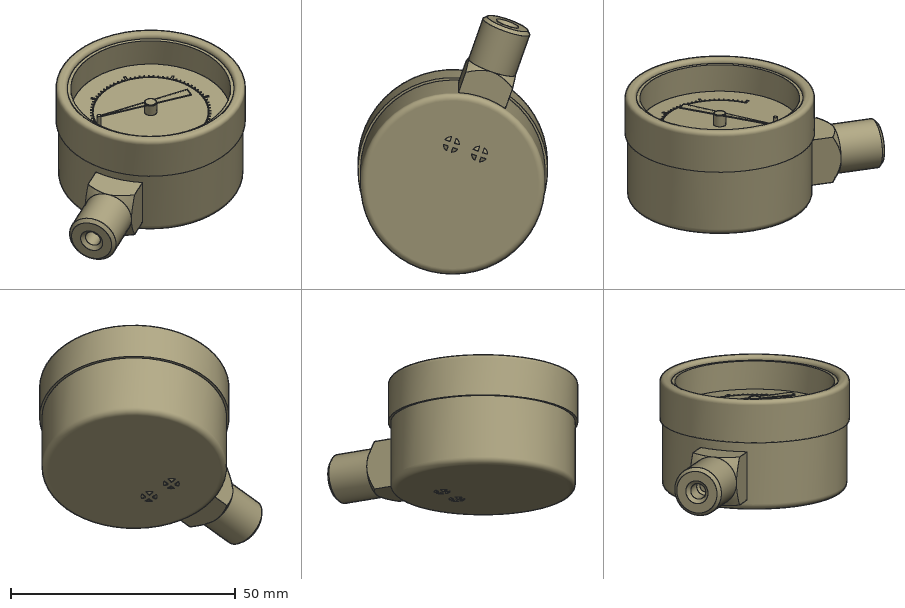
import cadquery as cq
import math


case_diameter = 41.05
case_bottom_fillet = 1.4
bezel_diameter = 42.2
bezel_bottom = 15.7
case_top = 25.3
bezel_fillet = 1.0
rim_flat_width = 0.6
window_diameter = 35.55
dial_depth = 7.45
dial_z = case_top - dial_depth

stem_axis_z = 7.95
stem_size = 11.05
overall_length = 58.15
stem_tip_y = bezel_diameter / 2 - overall_length
wrench_block_end_y = -26.65
wrench_block_setback = 2.0
stem_tip_chamfer = 0.75

bore_mouth_diameter = 5.25
bore_diameter = 3.55
bore_end_diameter = 2.4
bore_straight_depth = 4.65

pointer_angle = 45.0
pointer_tail_reach = 9.4
pointer_tail_width = 2.1
pointer_tip_reach = 12.9
pointer_tip_width = 0.2
pointer_thickness = 0.25
hub_diameter = 2.8
hub_height = 2.8
hub_chamfer = 0.2
hub_crown = 0.1
stop_pin_diameter = 0.9
stop_pin_height = 3.9
stop_pin_x = -8.4
stop_pin_y = -10.25

scale_radius = 12.8
scale_line_width = 0.2
scale_height = 0.05
scale_start_angle = -45.0
scale_sweep = 270.0
tick_count = 60
ticks_per_major = 10
minor_tick_length = 0.5
minor_tick_width = 0.2
major_tick_length = 1.3
major_tick_width = 0.45

screw_head_diameter = 3.55
screw_head_height = 0.4
screw_slot_width = 1.1
screw_offset_x = 3.3
screw_y = -8.6

embed = 0.3


def make_case():
    case = (
        cq.Workplane("XY")
        .circle(case_diameter / 2)
        .extrude(bezel_bottom)
        .faces("<Z")
        .edges()
        .fillet(case_bottom_fillet)
    )
    outer_radius = bezel_diameter / 2
    flat_outer_radius = outer_radius - bezel_fillet
    flat_inner_radius = flat_outer_radius - rim_flat_width
    ledge_radius = flat_inner_radius - bezel_fillet
    fillet_start_z = case_top - bezel_fillet
    bezel = (
        cq.Workplane("XZ")
        .moveTo(0, bezel_bottom)
        .lineTo(outer_radius, bezel_bottom)
        .lineTo(outer_radius, fillet_start_z)
        .radiusArc((flat_outer_radius, case_top), -bezel_fillet)
        .lineTo(flat_inner_radius, case_top)
        .radiusArc((ledge_radius, fillet_start_z), -bezel_fillet)
        .lineTo(0, fillet_start_z)
        .close()
        .revolve(360, (0, 0), (0, 1))
    )
    window = (
        cq.Workplane("XY")
        .workplane(offset=dial_z)
        .circle(window_diameter / 2)
        .extrude(dial_depth)
    )
    return case.union(bezel).cut(window)


def make_stem():
    half_size = stem_size / 2
    corner_radius = half_size * math.sqrt(2)
    block_length = -wrench_block_end_y
    stem_length = -stem_tip_y

    block = cq.Workplane("XZ").rect(stem_size, stem_size).extrude(block_length)
    turned_envelope = (
        cq.Workplane("XY")
        .polyline([
            (0, 0),
            (corner_radius, 0),
            (corner_radius, wrench_block_setback - block_length),
            (half_size, -block_length),
            (0, -block_length),
        ])
        .close()
        .revolve(360, (0, 0), (0, 1))
    )
    barrel = (
        cq.Workplane("XZ")
        .circle(half_size)
        .extrude(stem_length)
        .faces("<Y")
        .edges()
        .chamfer(stem_tip_chamfer)
    )
    stem = block.intersect(turned_envelope).union(barrel)
    return stem.translate((0, 0, stem_axis_z))


def make_stem_bore():
    mouth_radius = bore_mouth_diameter / 2
    bore_radius = bore_diameter / 2
    end_radius = bore_end_diameter / 2
    mouth_y = stem_tip_y + mouth_radius - bore_radius
    straight_end_y = stem_tip_y + bore_straight_depth
    end_y = straight_end_y + bore_radius - end_radius
    return (
        cq.Workplane("XY")
        .polyline([
            (0, stem_tip_y),
            (mouth_radius, stem_tip_y),
            (bore_radius, mouth_y),
            (bore_radius, straight_end_y),
            (end_radius, end_y),
            (0, end_y),
        ])
        .close()
        .revolve(360, (0, 0), (0, 1))
        .translate((0, 0, stem_axis_z))
    )


def make_pointer():
    hub = (
        cq.Workplane("XY")
        .workplane(offset=dial_z - embed)
        .circle(hub_diameter / 2)
        .extrude(hub_height + embed)
        .faces(">Z")
        .edges()
        .chamfer(hub_chamfer)
    )
    needle = (
        cq.Workplane("XY")
        .workplane(offset=dial_z + hub_height - hub_crown - pointer_thickness)
        .polyline([
            (pointer_tail_reach, pointer_tail_width / 2),
            (-pointer_tip_reach, pointer_tip_width / 2),
            (-pointer_tip_reach, -pointer_tip_width / 2),
            (pointer_tail_reach, -pointer_tail_width / 2),
        ])
        .close()
        .extrude(pointer_thickness)
        .rotate((0, 0, 0), (0, 0, 1), pointer_angle)
    )
    return hub.union(needle)


def make_stop_pin():
    return (
        cq.Workplane("XY")
        .workplane(offset=dial_z - embed)
        .center(stop_pin_x, stop_pin_y)
        .circle(stop_pin_diameter / 2)
        .extrude(stop_pin_height + embed)
    )


def polar_point(radius, angle):
    return (radius * math.cos(math.radians(angle)), radius * math.sin(math.radians(angle)))


def make_scale():
    outer_radius = scale_radius + scale_line_width
    end_angle = scale_start_angle + scale_sweep
    middle_angle = scale_start_angle + scale_sweep / 2
    raised_height = scale_height + embed
    base = cq.Workplane("XY").workplane(offset=dial_z - embed)

    scale = (
        base.moveTo(*polar_point(scale_radius, scale_start_angle))
        .threePointArc(
            polar_point(scale_radius, middle_angle),
            polar_point(scale_radius, end_angle),
        )
        .lineTo(*polar_point(outer_radius, end_angle))
        .threePointArc(
            polar_point(outer_radius, middle_angle),
            polar_point(outer_radius, scale_start_angle),
        )
        .close()
        .extrude(raised_height)
    )
    tick_start_radius = scale_radius + scale_line_width / 2
    for index in range(tick_count + 1):
        is_major = index % ticks_per_major == 0
        length = major_tick_length if is_major else minor_tick_length
        width = major_tick_width if is_major else minor_tick_width
        angle = scale_start_angle + index * scale_sweep / tick_count
        tick = (
            base.center(tick_start_radius + length / 2, 0)
            .rect(length, width)
            .extrude(raised_height)
        )
        scale = scale.union(tick.rotate((0, 0, 0), (0, 0, 1), angle))
    return scale


def make_screw_head():
    radius = screw_head_diameter / 2
    sphere_radius = (radius ** 2 + screw_head_height ** 2) / (2 * screw_head_height)
    middle_r = radius / 2
    middle_z = sphere_radius - screw_head_height - math.sqrt(sphere_radius ** 2 - middle_r ** 2)
    head = (
        cq.Workplane("XZ")
        .moveTo(0, embed)
        .lineTo(radius, embed)
        .lineTo(radius, 0)
        .threePointArc((middle_r, middle_z), (0, -screw_head_height))
        .close()
        .revolve(360, (0, 0), (0, 1))
    )
    slot = (
        cq.Workplane("XY")
        .rect(screw_head_diameter, screw_slot_width)
        .extrude(-screw_head_height)
    )
    cross_slot = slot.union(slot.rotate((0, 0, 0), (0, 0, 1), 90))
    return head.cut(cross_slot)


result = make_case().union(make_stem()).cut(make_stem_bore())
result = result.union(make_scale()).union(make_pointer()).union(make_stop_pin())
for screw_x in (-screw_offset_x, screw_offset_x):
    result = result.union(make_screw_head().translate((screw_x, screw_y, 0)))